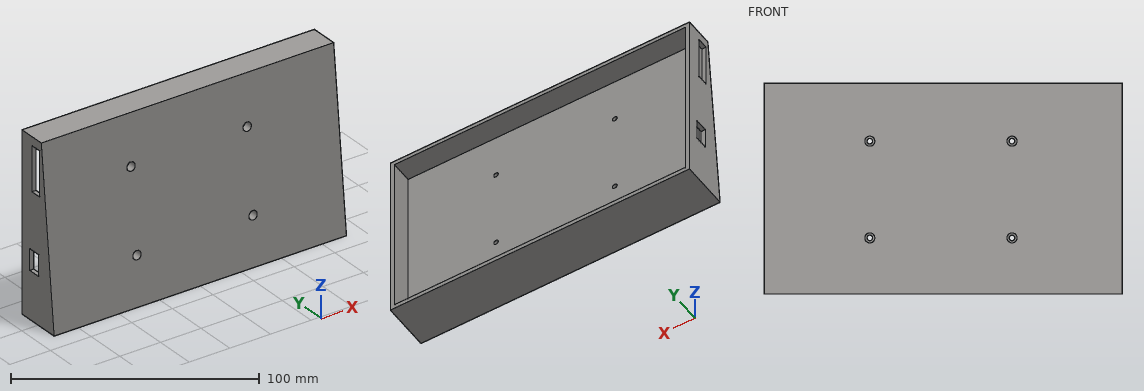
import cadquery as cq

length = 144.0
height = 84.8
bottom_depth = 22.5
top_depth = 13.5

wall = 2.0
cavity_depth = 10.0

hole_diameter = 2.2
counterbore_diameter = 4.0
counterbore_floor = 2.0
hole_spacing_x = 57.1
hole_spacing_z = 38.9
first_hole_x = 42.5
first_hole_z = 22.6

upper_window_y = 7.0
upper_window_z = 59.5
upper_window_width = 5.0
upper_window_height = 21.2
lower_window_y = 5.5
lower_window_z = 22.6
lower_window_width = 6.0
lower_window_height = 10.0


def wedge_body():
    """Solid wedge, thicker at the bottom."""
    profile = [(0, 0), (-bottom_depth, 0), (-top_depth, height), (0, height)]
    return cq.Workplane("YZ").polyline(profile).close().extrude(length)


def cavity():
    """Flat-floored pocket that leaves a thin wall on all four sides."""
    inner_length = length - 2 * wall
    inner_height = height - 2 * wall
    pocket = cq.Workplane("XY").box(inner_length, cavity_depth, inner_height, centered=False)
    return pocket.translate((wall, -cavity_depth, wall))


def wall_window(back_offset, bottom, width, window_height):
    """Cutter for a rectangular window through the -X wall."""
    cutter = cq.Workplane("XY").box(wall, width, window_height, centered=False)
    return cutter.translate((0, -back_offset - width, bottom))


def rod_toward_front(x, z, start_depth, diameter):
    """Round cutter along Y, from a depth below the back out past the sloping face."""
    plane = cq.Workplane("XZ", origin=(x, -start_depth, z))
    return plane.circle(diameter / 2).extrude(bottom_depth - start_depth)


def screw_hole(x, z):
    """Cutter for a counterbored hole that opens into the cavity."""
    through = rod_toward_front(x, z, cavity_depth, hole_diameter)
    counterbore = rod_toward_front(x, z, cavity_depth + counterbore_floor, counterbore_diameter)
    return through.union(counterbore)


result = wedge_body().cut(cavity())

result = result.cut(
    wall_window(upper_window_y, upper_window_z, upper_window_width, upper_window_height)
)
result = result.cut(
    wall_window(lower_window_y, lower_window_z, lower_window_width, lower_window_height)
)

for hole_x in (first_hole_x, first_hole_x + hole_spacing_x):
    for hole_z in (first_hole_z, first_hole_z + hole_spacing_z):
        result = result.cut(screw_hole(hole_x, hole_z))